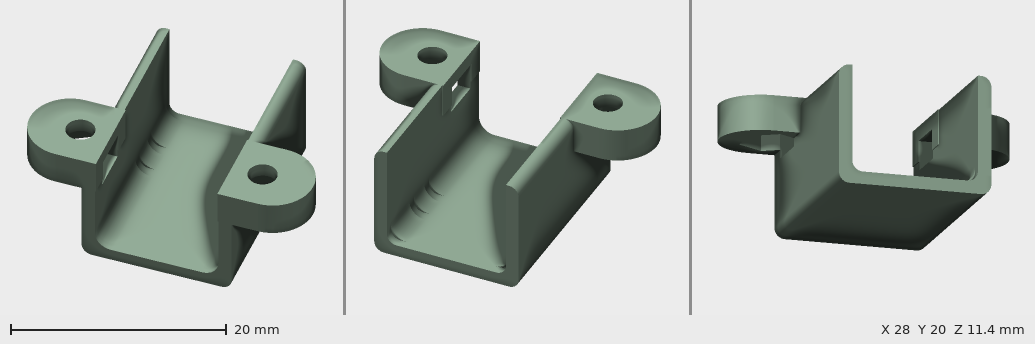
import cadquery as cq
import math

length = 20.0
height = 11.4
outer_width = 14.8
wall = 1.3
floor = 1.2
outer_radius = 1.0
inner_radius = 1.6
inner_width = outer_width - 2 * wall

groove_radius = 1.0
groove_spans = [(10.9, 11.9), (14.1, 15.1), (19.1, length)]

ear_width = 8.0
ear_thickness = 3.4
ear_inner_x = 6.0
ear_radius = ear_width / 2
ear_arc_x = 10.0
ear_bottom = height - ear_thickness

hole_diameter = 2.8
hole_x = 9.0
hole_y = ear_width / 2
nut_corner_diameter = 6.0
slot_width = 4.2
pocket_bottom = 7.2
pocket_height = 2.8


def channel_section(corner_radius):
    """Cavity profile in XZ, cut through the open top, with rounded bottom corners."""
    half = inner_width / 2
    diagonal = corner_radius * (1 - math.sqrt(0.5))
    return (
        cq.Workplane("XZ")
        .moveTo(-half, height)
        .lineTo(-half, floor + corner_radius)
        .threePointArc((-half + diagonal, floor + diagonal), (-half + corner_radius, floor))
        .lineTo(half - corner_radius, floor)
        .threePointArc((half - diagonal, floor + diagonal), (half, floor + corner_radius))
        .lineTo(half, height)
        .close()
    )


def cavity(corner_radius, start, end):
    """Cavity volume between two positions along Y."""
    return channel_section(corner_radius).extrude(start - end).translate((0, start, 0))


def make_channel():
    """Block with rounded long edges, hollowed and grooved."""
    block = (
        cq.Workplane("XY")
        .box(outer_width, length, height, centered=(True, False, False))
        .edges("|Y")
        .fillet(outer_radius)
    )
    channel = block.cut(cavity(inner_radius, 0, length))
    for start, end in groove_spans:
        channel = channel.cut(cavity(groove_radius, start, end))
    return channel


def make_ear():
    """Right-hand ear: a rectangle with a semicircular outer end."""
    return (
        cq.Workplane("XY", origin=(0, 0, ear_bottom))
        .moveTo(ear_inner_x, 0)
        .lineTo(ear_arc_x, 0)
        .threePointArc((ear_arc_x + ear_radius, ear_radius), (ear_arc_x, ear_width))
        .lineTo(ear_inner_x, ear_width)
        .close()
        .extrude(ear_thickness)
    )


def make_ear_cutout():
    """Screw hole, hexagonal nut pocket open below, and slot through the channel wall."""
    hole = (
        cq.Workplane("XY", origin=(hole_x, hole_y, ear_bottom))
        .circle(hole_diameter / 2)
        .extrude(ear_thickness)
    )
    pocket_plane = cq.Workplane("XY", origin=(hole_x, hole_y, pocket_bottom))
    nut = (
        pocket_plane
        .transformed(rotate=(0, 0, 90))
        .polygon(6, nut_corner_diameter)
        .extrude(pocket_height)
    )
    slot_length = hole_x - ear_inner_x
    slot = (
        pocket_plane
        .center(-slot_length / 2, 0)
        .rect(slot_length, slot_width)
        .extrude(pocket_height)
    )
    return hole.union(nut).union(slot)


def both_sides(right_side):
    """A right-hand shape together with its mirror image."""
    return right_side.union(right_side.mirror("YZ"))


result = make_channel().union(both_sides(make_ear()))
result = result.cut(both_sides(make_ear_cutout()))